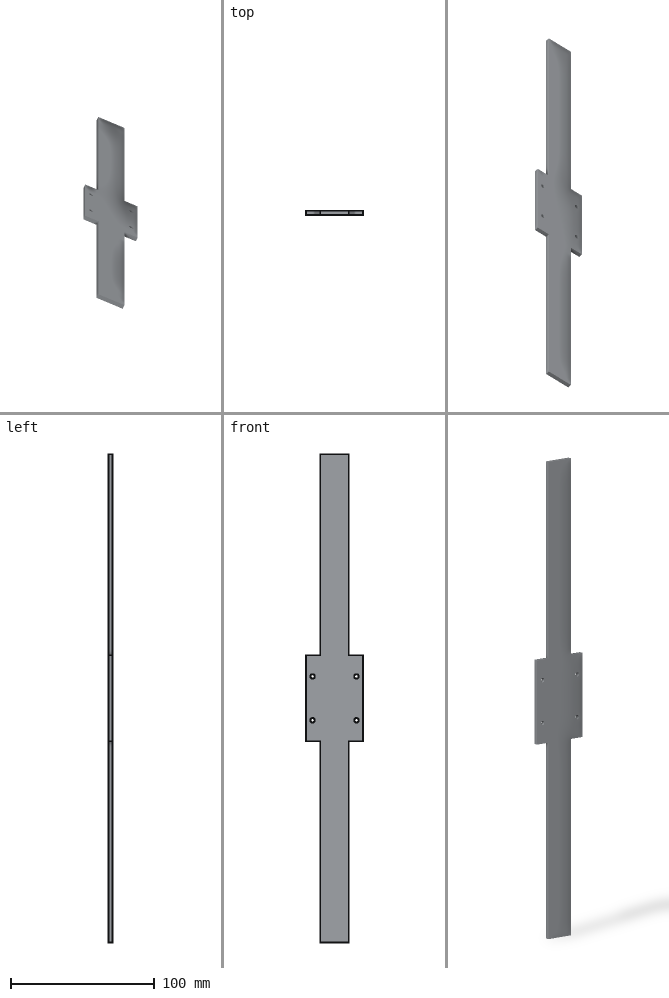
import cadquery as cq

thickness = 3.0
overall_height = 340.0
strip_width = 20.0
plate_width = 40.0
plate_height = 60.0
hole_diameter = 3.0
hole_spacing = 30.5


def centred_slab(width, height):
    """Flat slab standing in the XZ plane, centred on the origin."""
    return cq.Workplane("XY").box(width, thickness, height)


def mounting_holes():
    """Four through-hole cutters on a square pattern, running along Y."""
    return (
        cq.Workplane("XZ")
        .rect(hole_spacing, hole_spacing, forConstruction=True)
        .vertices()
        .circle(hole_diameter / 2)
        .extrude(thickness, both=True)
    )


strip = centred_slab(strip_width, overall_height)
plate = centred_slab(plate_width, plate_height)

result = strip.union(plate).cut(mounting_holes())